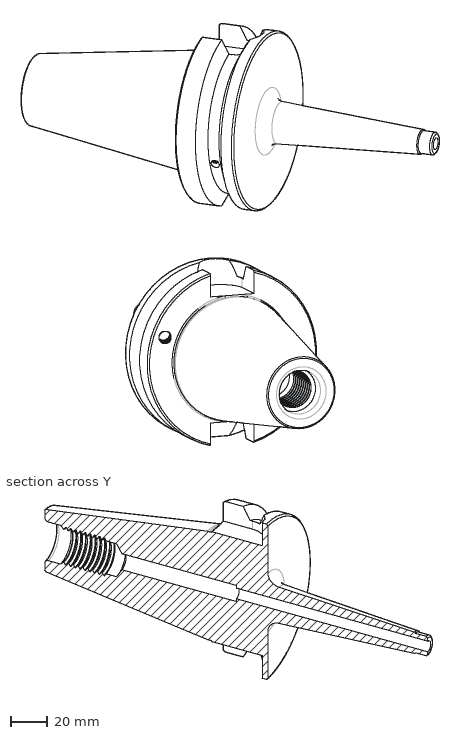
import cadquery as cq
import math

arc_middle = 1 - math.sqrt(0.5)

taper_length = 101.8
rear_x = -taper_length
flange_rear_x = 3.0
flange_front_x = 38.0
nose_end_x = 138.0

gauge_radius = 69.85 / 2
taper_slope = 7 / 48
taper_rear_radius = gauge_radius - taper_slope * taper_length
taper_rear_chamfer = 0.7
relief_radius = 34.9
relief_start_x = 1.2
relief_fillet = 0.8

flange_radius = 50.0
flange_chamfer = 1.0
groove_center_x = 23.1
groove_floor_width = 6.6
groove_floor_radius = 42.5
groove_flank_angle = 30.0

slot_width = 25.7
slot_floor_z = 35.4
slot_end_x = 34.2

neck_fillet = 7.0
cone_rear_radius = 11.8
cone_front_x = 129.6
cone_front_radius = 7.0
tip_radius = 6.4
tip_chamfer = 1.0

pilot_radius = 12.25
entry_fillet = 2.4
pilot_depth = 10.0
thread_radius = 10.4
thread_root_radius = 12.0
thread_pitch = 3.0
thread_turns = 9
thread_lead_in = 0.3
thread_depth = 45.0
drill_tip_angle = 118.0
inner_bore_radius = 5.0
inner_bore_depth = 120.0
coolant_radius = 3.25

channel_angle = 20.0
channel_pitch_radius = 42.3
channel_radius = 3.4
channel_tilt = 20.0
channel_length = 25.0
channel_overrun = 2.0
channel_thread_root_radius = 4.0
channel_thread_pitch = 1.25
channel_thread_start = 3.4
channel_thread_turns = 13
plug_radius = 2.4
plug_depth = 8.5
plug_overrun = 1.0


def revolve_about_x(profile):
    return profile.close().revolve(360, (0, 0, 0), (1, 0, 0))


def make_body():
    flank_run = (flange_radius - groove_floor_radius) * math.tan(math.radians(groove_flank_angle))
    floor_rear_x = groove_center_x - groove_floor_width / 2
    floor_front_x = groove_center_x + groove_floor_width / 2
    fillet_end_x = flange_front_x + neck_fillet
    fillet_mid = neck_fillet * arc_middle
    relief_mid = relief_fillet * arc_middle
    profile = (
        cq.Workplane("XZ")
        .moveTo(rear_x, 0)
        .lineTo(rear_x, taper_rear_radius - taper_rear_chamfer)
        .lineTo(rear_x + taper_rear_chamfer, taper_rear_radius + taper_slope * taper_rear_chamfer)
        .lineTo(0, gauge_radius)
        .lineTo(relief_start_x, relief_radius)
        .lineTo(flange_rear_x - relief_fillet, relief_radius)
        .threePointArc(
            (flange_rear_x - relief_mid, relief_radius + relief_mid),
            (flange_rear_x, relief_radius + relief_fillet),
        )
        .lineTo(flange_rear_x, flange_radius - flange_chamfer)
        .lineTo(flange_rear_x + flange_chamfer, flange_radius)
        .lineTo(floor_rear_x - flank_run, flange_radius)
        .lineTo(floor_rear_x, groove_floor_radius)
        .lineTo(floor_front_x, groove_floor_radius)
        .lineTo(floor_front_x + flank_run, flange_radius)
        .lineTo(flange_front_x - flange_chamfer, flange_radius)
        .lineTo(flange_front_x, flange_radius - flange_chamfer)
        .lineTo(flange_front_x, cone_rear_radius + neck_fillet)
        .threePointArc(
            (flange_front_x + fillet_mid, cone_rear_radius + fillet_mid),
            (fillet_end_x, cone_rear_radius),
        )
        .lineTo(cone_front_x, cone_front_radius)
        .lineTo(cone_front_x + cone_front_radius - tip_radius, tip_radius)
        .lineTo(nose_end_x - tip_chamfer, tip_radius)
        .lineTo(nose_end_x, tip_radius - tip_chamfer)
        .lineTo(nose_end_x, 0)
    )
    return revolve_about_x(profile)


def bore_thread_start_x():
    """Where the 45 degree countersink below the pilot meets the thread crests."""
    return rear_x + pilot_depth + pilot_radius - thread_radius


def make_bore():
    fillet_mid = entry_fillet * arc_middle
    thread_start_x = bore_thread_start_x()
    tip_run = (thread_radius - inner_bore_radius) / math.tan(math.radians(drill_tip_angle / 2))
    profile = (
        cq.Workplane("XZ")
        .moveTo(rear_x, 0)
        .lineTo(rear_x, pilot_radius + entry_fillet)
        .threePointArc(
            (rear_x + fillet_mid, pilot_radius + fillet_mid),
            (rear_x + entry_fillet, pilot_radius),
        )
        .lineTo(rear_x + pilot_depth, pilot_radius)
        .lineTo(thread_start_x, thread_radius)
        .lineTo(rear_x + thread_depth, thread_radius)
        .lineTo(rear_x + thread_depth + tip_run, inner_bore_radius)
        .lineTo(rear_x + inner_bore_depth, inner_bore_radius)
        .lineTo(rear_x + inner_bore_depth, coolant_radius)
        .lineTo(nose_end_x, coolant_radius)
        .lineTo(nose_end_x, 0)
    )
    return revolve_about_x(profile)


def make_thread_rings(start_x, crest_radius, root_radius, pitch, turns):
    """Coaxial V-shaped rings about X that stand for an internal thread."""
    crest_width = pitch / 4
    root_width = pitch / 8
    flank_width = (pitch - crest_width - root_width) / 2
    profile = cq.Workplane("XY").moveTo(start_x, 0).lineTo(start_x, crest_radius)
    for turn in range(turns):
        ring_x = start_x + turn * pitch
        profile = (
            profile.lineTo(ring_x + flank_width, root_radius)
            .lineTo(ring_x + flank_width + root_width, root_radius)
            .lineTo(ring_x + pitch - crest_width, crest_radius)
            .lineTo(ring_x + pitch, crest_radius)
        )
    return revolve_about_x(profile.lineTo(start_x + turns * pitch, 0))


def make_drive_slot():
    """Round-ended key slot above the axis, open toward the taper."""
    slot_round_x = slot_end_x - slot_width / 2
    return (
        cq.Workplane("XY", origin=(0, 0, slot_floor_z))
        .moveTo(0, -slot_width / 2)
        .lineTo(slot_round_x, -slot_width / 2)
        .threePointArc((slot_end_x, 0), (slot_round_x, slot_width / 2))
        .lineTo(0, slot_width / 2)
        .close()
        .extrude(flange_radius)
    )


def make_coolant_channel():
    """Threaded hole sloping from the flange face toward the axis."""
    drill = (
        cq.Workplane("YZ", origin=(-channel_overrun, 0, 0))
        .circle(channel_radius)
        .extrude(channel_overrun + channel_length)
    )
    thread = make_thread_rings(
        channel_thread_start,
        channel_radius,
        channel_thread_root_radius,
        channel_thread_pitch,
        channel_thread_turns,
    )
    channel = (
        drill.union(thread)
        .rotate((0, 0, 0), (0, 0, 1), -channel_tilt)
        .translate((flange_rear_x, channel_pitch_radius, 0))
    )
    return channel.rotate((0, 0, 0), (1, 0, 0), channel_angle)


def make_plug_hole():
    """Radial hole from the groove floor into the coolant channel."""
    hole = (
        cq.Workplane("XZ", origin=(groove_center_x, groove_floor_radius + plug_overrun, 0))
        .circle(plug_radius)
        .extrude(plug_overrun + plug_depth)
    )
    return hole.rotate((0, 0, 0), (1, 0, 0), channel_angle)


bore_thread = make_thread_rings(
    bore_thread_start_x() + thread_lead_in,
    thread_radius,
    thread_root_radius,
    thread_pitch,
    thread_turns,
)
result = make_body().cut(make_bore()).cut(bore_thread)
for turn_angle in (0, 180):
    for cutter in (make_drive_slot(), make_coolant_channel(), make_plug_hole()):
        result = result.cut(cutter.rotate((0, 0, 0), (1, 0, 0), turn_angle))